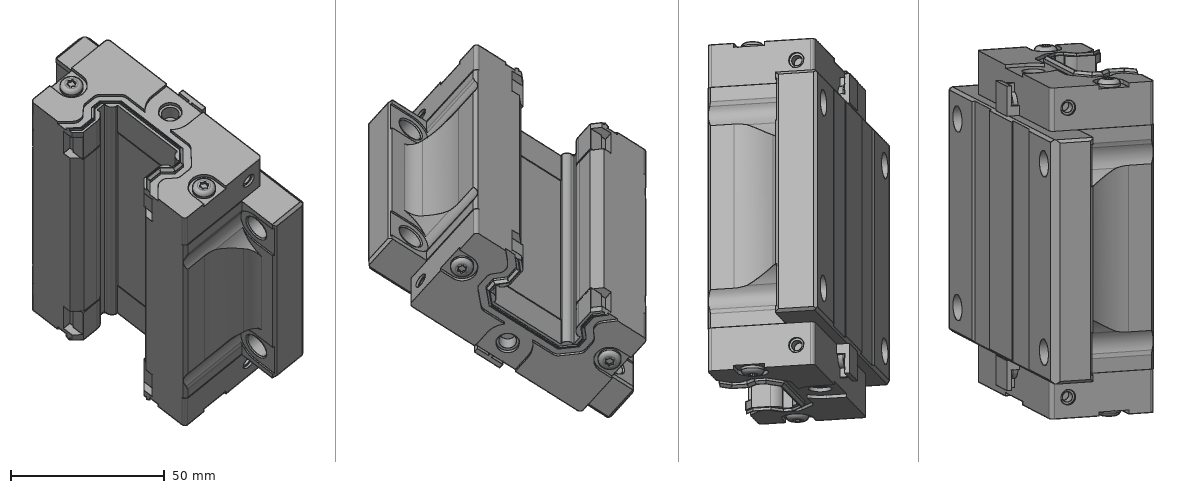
import cadquery as cq

overlap = 1.1

flange_width = 100.0
flange_top = 40.5
flange_bottom = 26.3
flange_length = 81.0
flange_datum_chamfer = 2.5
flange_end_chamfer = 1.0
flange_side_bevel_x = 0.8
flange_side_bevel_y = 1.2
seat_groove_inner = 10.7
seat_groove_outer = 27.2
seat_groove_depth = 0.5
seat_groove_slant = 1.2

mount_x = 41.3
mount_z = 31.2
mount_bore = 8.6
mount_mouth = 9.5
spotface_radius = 7.0
spotface_depth = 0.6

body_width = 70.5
body_chamfer = 1.1
web_half_width = 44.2
web_bend_x = 39.2
web_bend_y = 23.1
web_root_point = (41.3, 25.3)
web_foot_y = 9.0
web_arc_radius = 26.8
web_relief_radius = 13.0
web_relief_x = 47.7
web_relief_z = 31.9

cap_width = 70.0
cap_top = 35.9
cap_face = 54.9
cap_corner_radius = 1.3
overall_half_length = 55.8
end_plane = flange_length / 2

channel_mouth_x = 16.4
channel_lip_x = 13.7
channel_lip_high = 9.0
channel_notch_x = 17.0
channel_notch_low = 12.5
channel_notch_high = 15.8
channel_notch_edge_x = 15.8
channel_ceiling = 18.4
channel_ceiling_x = 13.6
channel_wall_low = 17.7
lower_bulge = (14.4, 11.3)
upper_bulge = (14.3, 16.6)
seal_half_points = [(19.1, 0), (15.7, 3.5), (15.7, 8.5), (19.0, 11.8), (19.0, 15.7), (14.0, 20.5)]
body_mouth_clearance = 0.9
body_lip_clearance = 0.3
body_ceiling_clearance = 0.2
seal_recess_margin = 2.7
seal_recess_radius = 3.1
seal_recess_depth = 1.1
seal_lip_width = 1.1
seal_bevel_angle = 45
opening_overrun = 4.5

port_y = 29.1
port_tab_radius = 8.3
port_mouth = 7.6
port_bore = 5.8
port_mouth_depth = 1.3
port_depth = 6.7
screw_x = 30.1
screw_y = 13.9
screw_head = 7.6
screw_flat = 4.2
screw_shoulder = 54.4
screw_dome_point = (3.2, 55.3)
screw_pocket_radius = 5.1
screw_pocket_depth = 1.3
socket_root = 2.5
socket_lobe = 0.7
socket_lobes = 6
socket_depth = 0.9
side_hole_y = 29.8
side_hole_z = 48.0
side_hole_mouth = 5.0
side_hole_bore = 3.5
side_hole_mouth_depth = 0.9
side_hole_depth = 4.5

lip_pocket_end = 52.1
lip_pocket_outer = 20.2
lip_pocket_step = 18.3
lip_pocket_deep = 3.0
lip_pocket_shallow = 2.6

plug_width = 10.4
plug_top = 40.3
plug_plate_bottom = 38.6
plug_rim_bottom = 37.8
plug_end = 50.4
plug_centre = 43.7
plug_rim = 9.0
plug_stub = 7.6
plug_web = 1.3


def prism(points, z_start, z_end):
    return cq.Workplane("XY", origin=(0, 0, z_start)).polyline(points).close().extrude(z_end - z_start)


def mirrored_outline(half_points):
    return half_points + [(-x, y) for x, y in reversed(half_points)]


def seal_outline(plane):
    """Seal edge, whose flared mouth runs on below Y = 0 so that it cuts right through."""
    x, y = seal_half_points[0]
    start = (x + opening_overrun, y - opening_overrun)
    return plane.polyline(mirrored_outline([start] + seal_half_points)).close()


def channel_outline(plane, mouth_clearance=0, lip_clearance=0, ceiling_clearance=0):
    """Rail channel: beveled mouth, lips, a ball-track notch on each side and a flat ceiling."""
    mouth_x = channel_mouth_x + mouth_clearance
    lip_x = channel_lip_x + lip_clearance
    ceiling = channel_ceiling + ceiling_clearance
    return (plane.moveTo(mouth_x + opening_overrun, -opening_overrun)
            .lineTo(lip_x, mouth_x - lip_x).lineTo(lip_x, channel_lip_high)
            .threePointArc(lower_bulge, (channel_notch_edge_x, channel_notch_low))
            .lineTo(channel_notch_x, channel_notch_low).lineTo(channel_notch_x, channel_notch_high)
            .lineTo(channel_notch_edge_x, channel_notch_high)
            .threePointArc(upper_bulge, (channel_ceiling_x, channel_wall_low))
            .lineTo(channel_ceiling_x, ceiling).lineTo(0, ceiling)
            .mirrorY())


def bar(x_size, y_low, y_high, z_low, z_high):
    return cq.Workplane("XY").box(x_size, y_high - y_low, z_high - z_low).translate(
        (0, (y_low + y_high) / 2, (z_low + z_high) / 2))


def post(diameter, y_low, y_high, x, z):
    return cq.Workplane("XZ", origin=(x, y_low, z)).circle(diameter / 2).extrude(y_low - y_high)


def four_ways(solid):
    pair = solid.union(solid.mirror("YZ"))
    return pair.union(pair.mirror("XY"))


def make_flange():
    half = flange_width / 2
    bevel_x = half - flange_side_bevel_x
    groove_floor = flange_top - seat_groove_depth
    groove_wall = seat_groove_outer - seat_groove_slant
    bottom_left = [(-bevel_x, flange_bottom), (-half, flange_bottom + flange_side_bevel_y)]
    datum_corner = [(-half, flange_top - flange_datum_chamfer), (-half + flange_datum_chamfer, flange_top)]
    left_groove = [(-seat_groove_outer, flange_top), (-groove_wall, groove_floor),
                   (-seat_groove_inner, groove_floor), (-seat_groove_inner, flange_top)]
    right_groove = [(-x, y) for x, y in reversed(left_groove)]
    top_right = [(bevel_x, flange_top), (half, flange_top - flange_side_bevel_y)]
    bottom_right = [(-x, y) for x, y in reversed(bottom_left)]
    section = prism(bottom_left + datum_corner + left_groove + right_groove + top_right + bottom_right,
                    -end_plane, end_plane)
    blank = bar(flange_width, flange_bottom, flange_top, -end_plane, end_plane)
    blank = blank.edges("|Y").chamfer(flange_end_chamfer)
    blank = blank.faces(">Y").edges(">Z or <Z").chamfer(flange_end_chamfer)
    return section.intersect(blank)


def make_webs():
    foot_x = body_width / 2
    profile = (cq.Workplane("XY", origin=(0, 0, -mount_z)).moveTo(0, web_foot_y).lineTo(foot_x, web_foot_y)
               .radiusArc((web_bend_x, web_bend_y), web_arc_radius)
               .threePointArc(web_root_point, (web_half_width, flange_bottom))
               .lineTo(web_half_width, flange_bottom + overlap).lineTo(0, flange_bottom + overlap).close()
               .extrude(2 * mount_z))
    return profile.union(profile.mirror("YZ"))


def make_mount_cuts():
    seat_y = flange_bottom + spotface_depth
    reach = flange_width / 2 - mount_x + overlap
    spotface = post(2 * spotface_radius, -overlap, seat_y, mount_x, mount_z)
    spotface = spotface.union(
        bar(reach, 0, seat_y, mount_z - spotface_radius, mount_z + spotface_radius)
        .translate((mount_x + reach / 2, 0, 0)))
    bore = post(mount_bore, 0, flange_top + overlap, mount_x, mount_z)
    mouth_depth = (mount_mouth - mount_bore) / 2
    mouth = cq.Workplane(cq.Solid.makeCone(
        mount_mouth / 2, mount_bore / 2, mouth_depth,
        cq.Vector(mount_x, seat_y, mount_z), cq.Vector(0, 1, 0)))
    relief = post(2 * web_relief_radius, -overlap, flange_bottom, web_relief_x, web_relief_z)
    return four_ways(relief.union(spotface).union(bore).union(mouth))


def make_body():
    half = body_width / 2
    body = prism(mirrored_outline([
        (half - body_chamfer, 0), (half, body_chamfer), (half, flange_bottom + overlap)]),
        -end_plane, end_plane)
    channel = channel_outline(cq.Workplane("XY", origin=(0, 0, -end_plane)), body_mouth_clearance,
                              body_lip_clearance, body_ceiling_clearance).extrude(flange_length)
    return body.union(make_webs()).union(make_flange()).cut(make_mount_cuts()).cut(channel)


def make_screw():
    head_base = cap_face - screw_pocket_depth
    head = (cq.Workplane("XZ").moveTo(0, head_base).lineTo(screw_head / 2, head_base)
            .lineTo(screw_head / 2, screw_shoulder)
            .threePointArc(screw_dome_point, (screw_flat / 2, overall_half_length))
            .lineTo(0, overall_half_length).close().revolve(360, (0, 0, 0), (0, 1, 0)))
    socket_plane = cq.Workplane("XY", origin=(0, 0, overall_half_length - socket_depth))
    socket = socket_plane.circle(socket_root / 2).extrude(socket_depth + overlap)
    lobes = (socket_plane.polarArray(socket_root / 2, 0, 360, socket_lobes)
             .circle(socket_lobe / 2).extrude(socket_depth + overlap))
    return head.cut(socket.union(lobes)).translate((screw_x, screw_y, 0))


def make_seal_lip():
    height = overall_half_length - cap_face
    recess_floor = cq.Workplane("XY", origin=(0, 0, cap_face - seal_recess_depth))
    cap_plane = cq.Workplane("XY", origin=(0, 0, cap_face))
    root = seal_outline(recess_floor).extrude(seal_recess_depth)
    bevel = seal_outline(cap_plane).extrude(height, taper=seal_bevel_angle)
    inside = (seal_outline(cap_plane)
              .offset2D(-seal_lip_width, "intersection").extrude(height))
    lip_zone = bar(flange_width, 0, cap_top, end_plane, overall_half_length)
    return root.union(bevel).cut(inside).intersect(lip_zone)


def make_cap_recess():
    floor = cq.Workplane("XY", origin=(0, 0, cap_face - seal_recess_depth))
    around_seal = (seal_outline(floor).offset2D(seal_recess_margin, "intersection")
                   .extrude(seal_recess_depth).edges("|Z").edges("not <Y").fillet(seal_recess_radius))
    port_tab = floor.center(0, port_y).circle(port_tab_radius).extrude(seal_recess_depth)
    tab_top = bar(2 * port_tab_radius, port_y, cap_top, cap_face - seal_recess_depth, cap_face)
    return around_seal.union(port_tab).union(tab_top)


def make_screw_pocket():
    floor = cq.Workplane("XY", origin=(screw_x, screw_y, cap_face - screw_pocket_depth))
    length = body_width / 2 - screw_x
    round_end = floor.circle(screw_pocket_radius).extrude(screw_pocket_depth)
    return round_end.union(
        floor.center(length / 2, 0).rect(length, 2 * screw_pocket_radius).extrude(screw_pocket_depth))


def make_side_hole():
    face = cq.Workplane("YZ", origin=(cap_width / 2, side_hole_y, side_hole_z))
    mouth = face.circle(side_hole_mouth / 2).extrude(-side_hole_mouth_depth)
    return mouth.union(face.circle(side_hole_bore / 2).extrude(-side_hole_depth))


def make_lip_pocket():
    inner = channel_lip_x - overlap
    return prism([
        (lip_pocket_outer, -overlap), (lip_pocket_outer, lip_pocket_deep),
        (lip_pocket_step, lip_pocket_deep), (lip_pocket_step, lip_pocket_shallow),
        (inner, lip_pocket_shallow), (inner, -overlap)], end_plane, lip_pocket_end)


def make_port():
    face = cq.Workplane("XY", origin=(0, port_y, cap_face - seal_recess_depth))
    mouth = face.circle(port_mouth / 2).extrude(-port_mouth_depth)
    return mouth.union(face.circle(port_bore / 2).extrude(-port_depth))


def make_plug():
    plate = bar(plug_width, plug_plate_bottom, plug_top, end_plane, plug_end)
    base = bar(plug_width, cap_top, plug_plate_bottom, end_plane, plug_centre)
    web = bar(plug_web, cap_top, plug_plate_bottom, end_plane, plug_end)
    stub = post(plug_stub, cap_top, plug_plate_bottom, 0, plug_centre)
    rim = post(plug_rim, plug_rim_bottom, plug_plate_bottom, 0, plug_centre)
    return plate.union(base).union(web).union(stub).union(rim)


def make_end_cap():
    cap = bar(cap_width, 0, cap_top, end_plane, cap_face).edges("|Z").fillet(cap_corner_radius)
    cap = cap.cut(make_cap_recess()).union(make_seal_lip())
    channel = (channel_outline(cq.Workplane("XY", origin=(0, 0, end_plane)))
               .extrude(overall_half_length - end_plane))
    cap = cap.cut(channel).cut(make_port())
    for feature in (make_screw_pocket(), make_side_hole(), make_lip_pocket()):
        cap = cap.cut(feature).cut(feature.mirror("YZ"))
    screw = make_screw()
    return cap.union(screw).union(screw.mirror("YZ")).union(make_plug())


end_cap = make_end_cap()
result = make_body().union(end_cap).union(end_cap.mirror("XY"))